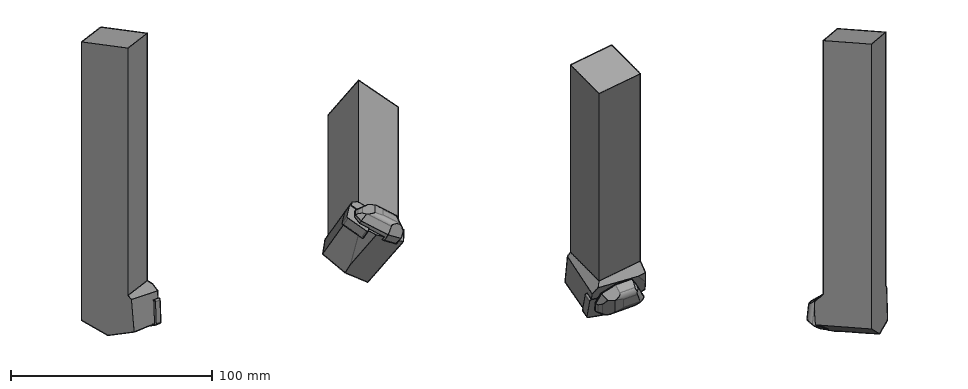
import cadquery as cq
import math


shank_side = 25.0
shank_top = 151.4
ramp_start_z = 21.5
head_height = 29.5
end_corner_z = 5.1
end_slant = 23.2
head_reach = 37

tip_x = 32.5
tip_y = 25.0
rake_slope_x = 0.12
rake_slope_z = 0.085
side_edge_angle = 95
end_edge_angle = 195

insert_edge = 13.0
insert_thickness = 4.8
insert_nose_radius = 1.0

side_setback = 1.0
end_setback = 0.8
head_bottom_z = -1.4
deck_drop = 0.3
flank_length = 61.8

clamp_slope = 0.13
clamp_base_y = 30.7
clamp_height = 5.9
clamp_foot_depth = 3.9
clamp_draft = 30
clamp_top_z = 17.3
clamp_bottom_z = 0.54
clamp_overhang = 0.3
clamp_crest_radius = 3.9
heel_x = 3.0
heel_z = 4.6
heel_top_y = 35.7
heel_radius = 4.2
heel_corner_x = 8.0
corner_angle = 35
nose_start_x = 16.8
nose_tip_x = 28.7
nose_points = [(21.3, 33.7), (26.4, 30.1), (nose_tip_x, 27.3)]
nose_side_start_x = 15.3
nose_side_x = 25.5
nose_side_z = 14.7
nose_high_z = 9.3
nose_low_z = 3.9
clamp_length = 46.3
trim_margin = 0.8

rake_plane = cq.Plane(
    origin=(tip_x, tip_y, 0),
    xDir=(1, -rake_slope_x, 0),
    normal=(-rake_slope_x, -1, rake_slope_z),
)

clamp_plane = cq.Plane(
    origin=(0, clamp_base_y, 0),
    xDir=(1, -clamp_slope, 0),
    normal=(clamp_slope, 1, 0),
)


def along(angle, distance):
    """Offset in the rake plane at an angle from its local X axis."""
    turn = math.radians(angle)
    return cq.Vector(distance * math.cos(turn), distance * math.sin(turn))


def rhombus(corner, edge):
    """Corner points of a parallelogram whose sides follow the two cutting edges."""
    side = along(side_edge_angle, edge)
    end = along(end_edge_angle, edge)
    corners = [corner, corner + side, corner + side + end, corner + end]
    return [(p.x, p.y) for p in corners]


def front_prism(points, y_end):
    """Prism along Y from (x, z) points."""
    return cq.Workplane("XZ").polyline(points).close().extrude(-y_end)


def side_prism(points, x_end):
    """Prism along X from (y, z) points."""
    return cq.Workplane("YZ").polyline(points).close().extrude(x_end)


def make_insert():
    """Rhombic plate with rounded corners, its rake face on the rake plane."""
    plate = cq.Workplane(rake_plane).polyline(rhombus(cq.Vector(), insert_edge)).close()
    plate = plate.extrude(insert_thickness)
    return plate.edges(cq.selectors.ParallelDirSelector(rake_plane.zDir)).fillet(insert_nose_radius)


def make_head():
    """Head with two ramps, a slanted end and flanks that follow the insert."""
    end_drop = head_reach * math.tan(math.radians(end_slant))
    ramp_run = head_reach - shank_side
    outline = front_prism(
        [
            (0, ramp_start_z),
            (shank_side, ramp_start_z),
            (head_reach, ramp_start_z - ramp_run),
            (head_reach, end_corner_z - end_drop),
            (0, end_corner_z),
        ],
        head_height,
    )
    profile = side_prism(
        [
            (0, ramp_start_z),
            (shank_side, ramp_start_z),
            (head_height, ramp_start_z - (head_height - shank_side)),
            (head_height, head_bottom_z),
            (0, head_bottom_z),
        ],
        head_reach,
    )
    corner_sine = math.sin(math.radians(end_edge_angle - side_edge_angle))
    corner = along(side_edge_angle, end_setback / corner_sine)
    corner += along(end_edge_angle, side_setback / corner_sine)
    flanks = cq.Workplane(rake_plane).workplane(offset=deck_drop)
    flanks = flanks.polyline(rhombus(corner, flank_length)).close().extrude(flank_length)
    return outline.intersect(profile).intersect(flanks)


def clamp_bar():
    """Bar along the slope with drafted sides, rounded crest edges and an upright foot."""
    inset = clamp_height * math.tan(math.radians(clamp_draft))
    section = [
        (clamp_bottom_z, -clamp_foot_depth),
        (clamp_bottom_z, 0),
        (clamp_bottom_z + inset, clamp_height),
        (clamp_top_z - inset, clamp_height),
        (clamp_top_z, 0),
        (clamp_top_z, -clamp_foot_depth),
    ]
    section_plane = cq.Plane(origin=(0, clamp_base_y, 0), xDir=(0, 0, -1), normal=clamp_plane.xDir)
    bar = cq.Workplane(section_plane).polyline([(-z, y) for z, y in section]).close().extrude(clamp_length)
    crest = bar.faces(cq.selectors.DirectionMinMaxSelector(clamp_plane.zDir))
    return crest.edges(cq.selectors.ParallelDirSelector(clamp_plane.xDir)).fillet(clamp_crest_radius)


def heel_trim():
    """Block whose left face stands square to the slanted end, with a rounded crest edge."""
    size = 2 * clamp_length
    block = cq.Workplane("XY").box(size, heel_top_y, size, centered=(False, False, True))
    block = block.faces("<X").edges(">Y").fillet(heel_radius)
    return block.rotate((0, 0, 0), (0, 1, 0), end_slant).translate((heel_x, 0, heel_z))


def nose_trim():
    """Falling nose outline, seen along Z."""
    crest_y = clamp_base_y + clamp_height * math.hypot(1, clamp_slope) - clamp_slope * nose_start_x
    outline = [
        (0, 0),
        (0, clamp_length),
        (nose_start_x, clamp_length),
        (nose_start_x, crest_y),
        *nose_points,
        (nose_tip_x, 0),
    ]
    return cq.Workplane("XY").polyline(outline).close().extrude(clamp_top_z)


def footprint_trim():
    """Outline on the clamp plane, drafted above it: heel corner, slanted end and nose."""
    slant = math.tan(math.radians(end_slant))
    corner_slope = math.tan(math.radians(corner_angle))
    slant_start_z = end_corner_z - clamp_overhang
    low_z = clamp_bottom_z - trim_margin
    high_z = clamp_top_z + trim_margin
    far_x = -heel_x
    outline = [
        (far_x, slant_start_z - far_x * slant),
        ((slant_start_z - low_z) / slant, low_z),
        (nose_side_x, clamp_bottom_z),
        (nose_tip_x, nose_low_z),
        (nose_tip_x, nose_high_z),
        (nose_side_x, nose_side_z),
        (nose_side_start_x, high_z),
        (heel_corner_x + trim_margin / corner_slope, high_z),
        (far_x, clamp_top_z - corner_slope * (heel_corner_x - far_x)),
    ]
    outline = [(x, -z) for x, z in outline]
    drafted_height = clamp_height + trim_margin
    upper = cq.Workplane(clamp_plane).polyline(outline).close().extrude(drafted_height, taper=clamp_draft)
    lower = cq.Workplane(clamp_plane).polyline(outline).close().extrude(-clamp_foot_depth)
    return upper.union(lower)


def make_clamp():
    return clamp_bar().intersect(heel_trim()).intersect(nose_trim()).intersect(footprint_trim())


def make_shank():
    shank = cq.Workplane("XY", origin=(0, 0, ramp_start_z))
    return shank.box(shank_side, shank_side, shank_top - ramp_start_z, centered=False)


insert = make_insert()

holder = make_shank().union(make_head()).union(make_clamp()).cut(insert)

result = cq.Compound.makeCompound([holder.val(), insert.val()])